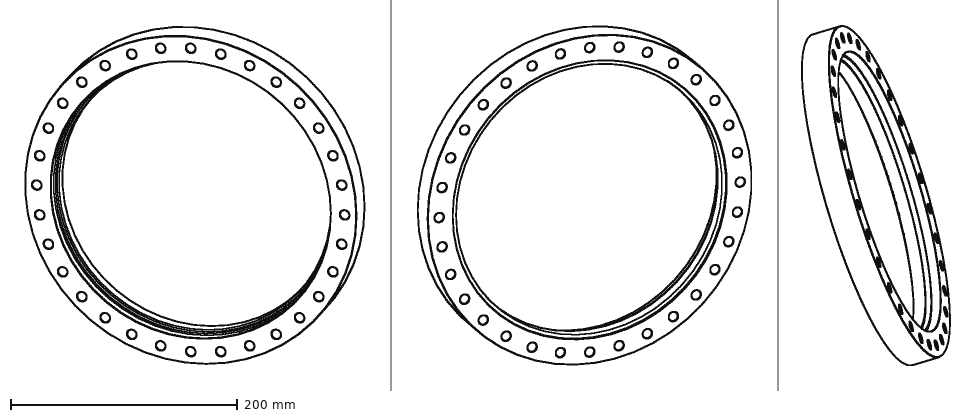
import cadquery as cq

OUTER_DIAMETER = 306.0
THICKNESS = 26.0
RING_BORE_DIAMETER = 258.0
EDGE_CHAMFER = 0.5

BOLT_COUNT = 32
BOLT_CIRCLE_DIAMETER = 284.0
BOLT_HOLE_DIAMETER = 8.3

INSERT_FRONT_RECESS = 8.5
INSERT_BACK_RECESS = 1.5
SOCKET_DIAMETER = 254.5
SOCKET_DEPTH = 5.0
INSERT_BORE_DIAMETER = 251.0


def disc(diameter, start, end):
    """Cylinder about the Y axis between two distances behind the front face."""
    front_face = -THICKNESS / 2
    return (
        cq.Workplane("XZ", origin=(0, front_face + start, 0))
        .circle(diameter / 2)
        .extrude(start - end)
    )


def chamfered_cutter(diameter, chamfer):
    """Full-depth round cutter on the Y axis that flares at both faces of the ring."""
    half_depth = THICKNESS / 2
    radius = diameter / 2
    return (
        cq.Workplane("XY")
        .moveTo(0, -half_depth)
        .lineTo(radius + chamfer, -half_depth)
        .lineTo(radius, chamfer - half_depth)
        .lineTo(radius, half_depth - chamfer)
        .lineTo(radius + chamfer, half_depth)
        .lineTo(0, half_depth)
        .close()
        .revolve(360, (0, 0), (0, 1))
    )


def make_ring():
    """Bolted outer ring with chamfered rims, bore and bolt holes."""
    ring = disc(OUTER_DIAMETER, 0, THICKNESS).edges().chamfer(EDGE_CHAMFER)
    ring = ring.cut(chamfered_cutter(RING_BORE_DIAMETER, EDGE_CHAMFER))
    bolt_hole = chamfered_cutter(BOLT_HOLE_DIAMETER, EDGE_CHAMFER)
    bolt_hole = bolt_hole.translate((BOLT_CIRCLE_DIAMETER / 2, 0, 0))
    for index in range(BOLT_COUNT):
        angle = index * 360 / BOLT_COUNT
        ring = ring.cut(bolt_hole.rotate((0, 0, 0), (0, 1, 0), angle))
    return ring


def make_insert():
    """Sleeve set back from both faces of the ring, with a shallow socket in its front."""
    front = INSERT_FRONT_RECESS
    back = THICKNESS - INSERT_BACK_RECESS
    sleeve = disc(RING_BORE_DIAMETER, front, back)
    socket = disc(SOCKET_DIAMETER, front, front + SOCKET_DEPTH)
    bore = disc(INSERT_BORE_DIAMETER, front, back)
    return sleeve.cut(socket).cut(bore)


ring = make_ring()
insert = make_insert()
result = cq.Compound.makeCompound([ring.val(), insert.val()])